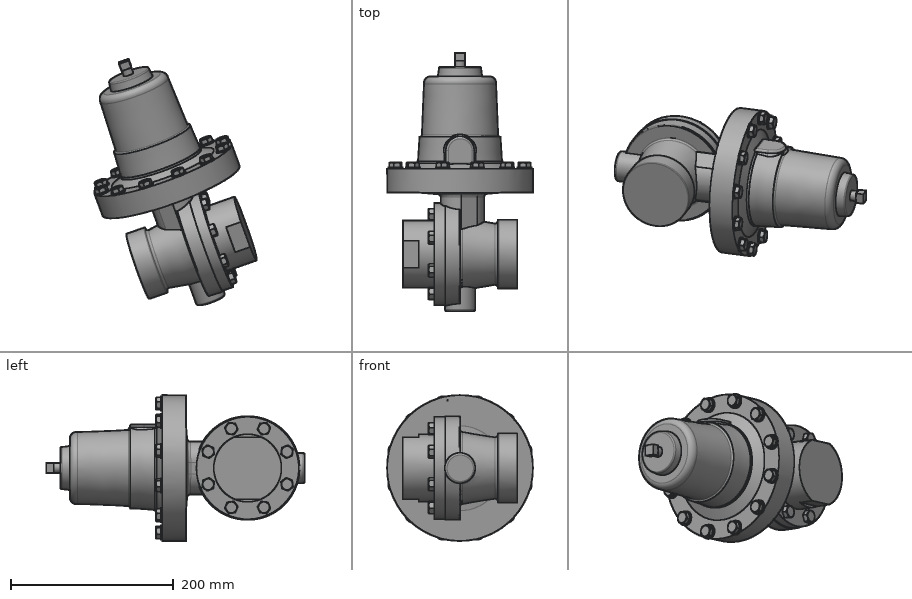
import cadquery as cq
import math


FLANGE_DIAMETER = 179.5
FLANGE_RADIUS = FLANGE_DIAMETER / 2
FLANGE_FRONT = 75.5
FLANGE_BACK = 105.0
HUB_RADIUS = 52.0
HUB_TIP_RADIUS = 22.2
HUB_TIP = 73.0

SKIRT_FOOT_RADIUS = 51.8
SKIRT_TOP_RADIUS = 50.0
SKIRT_TOP = 144.5
SKIRT_FOOT = 114.3
SHELF_TOP_RADIUS = 52.5
SHELF_TOP = 111.5
SHELF_FOOT_RADIUS = 66.7
BELL_FOOT_RADIUS = 47.0
BELL_TOP_RADIUS = 44.5
BELL_COVE = 2.0
SHOULDER = 209.5
BELL_TOP = 218.5
SHOULDER_INSET = 7.5
CAP_FOOT_RADIUS = 27.3
CAP_TOP_RADIUS = 26.0
CAP_TOP = 230.0
CAP_ROUND = 1.5
STEM_WIDTH = 12.7
STEM_SQUARE_FOOT = 237.8
STEM_TOP = 247.3

PAD_RADIUS = 17.5
PAD_CENTRE = 127.3
PAD_FOOT = 109.5
PAD_TOP = 53.5
PAD_ROUND = 3.0
PAD_FLARE = 2.5
PAD_FLARE_HEIGHT = 3.5
PAD_FLARE_BASE = 46.7

BARREL_RADIUS = 41.5
BARREL_END = -70.2
BARREL_FLAT_END = -50.8
BARREL_FLAT_HEIGHT = 38.0
COVER_RADIUS = 63.0
COVER_FACE = -31.8
BODY_RADIUS = 63.8
BODY_FACE = -18.5
BODY_BACK = 0.3
BODY_ROUND = 1.3
BODY_COVE = 2.2
TAPER_FOOT_RADIUS = 44.5
TAPER_END_RADIUS = 37.8
TAPER_END = 43.0
LIP_RADIUS = 42.5
LIP_FACE = 46.5
LIP_END = 70.5
LIP_ROUND = 1.0

NECK_LEFT = -23.8
NECK_RIGHT = 30.0
NECK_FLAT_HALF_WIDTH = 7.3
NECK_LEFT_ROUND = 25.5
NECK_HALF_HEIGHT = NECK_FLAT_HALF_WIDTH + NECK_LEFT_ROUND
NECK_BEND = 21.0
NECK_BEND_HEIGHT = 21.5
NECK_COVE = 3.5
NECK_ROOT_MARGIN = 0.3

BOSS_RADIUS = 18.7
BOSS_FRONT = -70.2
BOSS_ROUND = 2.5

HEX_ACROSS_CORNERS = 16.2
HEX_CORNER_CHAMFER = 1.3
WASHER_RADIUS = 9.0
WASHER_HEIGHT = 1.5
FLANGE_BOLT_COUNT = 12
FLANGE_BOLT_CIRCLE = 82.0
FLANGE_BOLT_TOP = 112.7
COVER_BOLT_COUNT = 8
COVER_BOLT_CIRCLE = 52.5
COVER_BOLT_TOP = -38.7

DIAG = math.sqrt(0.5)


def cylinder_y(radius, start, end):
    """Cylinder on the Y axis between two Y positions."""
    return cq.Workplane("XZ", origin=(0, start, 0)).circle(radius).extrude(start - end)


def bonnet_and_flange():
    """Flange, skirt, bell and cap turned about the Y axis."""
    shoulder_height = BELL_TOP - SHOULDER
    profile = (
        cq.Workplane("XY")
        .moveTo(0, HUB_TIP)
        .lineTo(HUB_TIP_RADIUS, HUB_TIP)
        .lineTo(HUB_RADIUS, FLANGE_FRONT)
        .lineTo(FLANGE_RADIUS, FLANGE_FRONT)
        .lineTo(FLANGE_RADIUS, FLANGE_BACK)
        .lineTo(SHELF_FOOT_RADIUS, FLANGE_BACK)
        .lineTo(SHELF_TOP_RADIUS, SHELF_TOP)
        .lineTo(SHELF_TOP_RADIUS, SKIRT_FOOT)
        .lineTo(SKIRT_FOOT_RADIUS, SKIRT_FOOT)
        .lineTo(SKIRT_TOP_RADIUS, SKIRT_TOP)
        .lineTo(BELL_FOOT_RADIUS + BELL_COVE, SKIRT_TOP)
        .threePointArc(
            (BELL_FOOT_RADIUS + BELL_COVE * (1 - DIAG), SKIRT_TOP + BELL_COVE * (1 - DIAG)),
            (BELL_FOOT_RADIUS, SKIRT_TOP + BELL_COVE),
        )
        .lineTo(BELL_TOP_RADIUS, SHOULDER)
        .threePointArc(
            (BELL_TOP_RADIUS - SHOULDER_INSET * (1 - DIAG), SHOULDER + shoulder_height * DIAG),
            (BELL_TOP_RADIUS - SHOULDER_INSET, BELL_TOP),
        )
        .lineTo(CAP_FOOT_RADIUS, BELL_TOP)
        .lineTo(CAP_TOP_RADIUS, CAP_TOP - CAP_ROUND)
        .threePointArc(
            (CAP_TOP_RADIUS - CAP_ROUND * (1 - DIAG), CAP_TOP - CAP_ROUND * (1 - DIAG)),
            (CAP_TOP_RADIUS - CAP_ROUND, CAP_TOP),
        )
        .lineTo(0, CAP_TOP)
        .close()
    )
    return profile.revolve(360, (0, 0, 0), (0, 1, 0))


def stem():
    """Adjusting stem: a round shank with a square end."""
    shank = cylinder_y(STEM_WIDTH / 2, BELL_TOP, STEM_SQUARE_FOOT)
    square = (
        cq.Workplane("XZ", origin=(0, STEM_SQUARE_FOOT, 0))
        .rect(STEM_WIDTH, STEM_WIDTH)
        .extrude(STEM_SQUARE_FOOT - STEM_TOP)
    )
    return shank.union(square)


def pad_prism(radius, foot, base, height, taper=0):
    """Arch-shaped prism standing on a plane at Z = base."""
    return (
        cq.Workplane("XY", origin=(0, 0, base))
        .moveTo(-radius, foot)
        .lineTo(radius, foot)
        .lineTo(radius, PAD_CENTRE)
        .threePointArc((0, PAD_CENTRE + radius), (-radius, PAD_CENTRE))
        .close()
        .extrude(height, taper=taper)
    )


def pad():
    """Arched pad with a rounded rim and a flare where it meets the skirt."""
    raised = pad_prism(PAD_RADIUS, PAD_FOOT, PAD_FLARE_BASE, PAD_TOP - PAD_FLARE_BASE)
    raised = raised.faces(">Z").edges().fillet(PAD_ROUND)
    flare_angle = math.degrees(math.atan2(PAD_FLARE, PAD_FLARE_HEIGHT))
    flare = pad_prism(
        PAD_RADIUS + PAD_FLARE, PAD_FOOT - PAD_FLARE, PAD_FLARE_BASE, PAD_FLARE_HEIGHT, flare_angle
    )
    return raised.union(flare)


def valve_body():
    """Barrel, cover, body flange, taper and outlet lip turned about the X axis."""
    cove = LIP_FACE - TAPER_END
    profile = (
        cq.Workplane("XY")
        .moveTo(BARREL_END, 0)
        .lineTo(BARREL_END, BARREL_RADIUS)
        .lineTo(COVER_FACE, BARREL_RADIUS)
        .lineTo(COVER_FACE, COVER_RADIUS)
        .lineTo(BODY_FACE, COVER_RADIUS)
        .lineTo(BODY_FACE, BODY_RADIUS)
        .lineTo(BODY_BACK - BODY_ROUND, BODY_RADIUS)
        .tangentArcPoint((BODY_BACK, BODY_RADIUS - BODY_ROUND), relative=False)
        .lineTo(BODY_BACK, TAPER_FOOT_RADIUS + BODY_COVE)
        .tangentArcPoint((BODY_BACK + BODY_COVE, TAPER_FOOT_RADIUS), relative=False)
        .lineTo(TAPER_END, TAPER_END_RADIUS)
        .threePointArc(
            (TAPER_END + cove * DIAG, TAPER_END_RADIUS + cove * (1 - DIAG)),
            (LIP_FACE, TAPER_END_RADIUS + cove),
        )
        .lineTo(LIP_FACE, LIP_RADIUS - LIP_ROUND)
        .tangentArcPoint((LIP_FACE + LIP_ROUND, LIP_RADIUS), relative=False)
        .lineTo(LIP_END - LIP_ROUND, LIP_RADIUS)
        .tangentArcPoint((LIP_END, LIP_RADIUS - LIP_ROUND), relative=False)
        .lineTo(LIP_END, 0)
        .close()
    )
    return profile.revolve(360, (0, 0, 0), (1, 0, 0))


def cut_barrel_flats(body):
    """Cut the two wrench flats, above and below, at the open end of the barrel."""
    length = BARREL_FLAT_END - BARREL_END
    height = BARREL_RADIUS - BARREL_FLAT_HEIGHT
    for side in (1, -1):
        cutter = cq.Workplane("XY").box(length, 2 * BARREL_RADIUS, height).translate(
            (BARREL_END + length / 2, 0, side * (BARREL_FLAT_HEIGHT + height / 2))
        )
        body = body.cut(cutter)
    return body


def neck():
    """Column from the body axis up into the hub of the flange, blunt at left and rounded at right."""
    left_mid_x = NECK_LEFT + NECK_LEFT_ROUND * (1 - DIAG)
    left_mid_z = NECK_FLAT_HALF_WIDTH + NECK_LEFT_ROUND * DIAG
    left_end = NECK_LEFT + NECK_LEFT_ROUND
    section = (
        cq.Workplane("XZ")
        .moveTo(NECK_LEFT, -NECK_FLAT_HALF_WIDTH)
        .lineTo(NECK_LEFT, NECK_FLAT_HALF_WIDTH)
        .threePointArc((left_mid_x, left_mid_z), (left_end, NECK_HALF_HEIGHT))
        .lineTo(NECK_BEND, NECK_BEND_HEIGHT)
        .threePointArc((NECK_RIGHT, 0), (NECK_BEND, -NECK_BEND_HEIGHT))
        .lineTo(left_end, -NECK_HALF_HEIGHT)
        .threePointArc((left_mid_x, -left_mid_z), (NECK_LEFT, -NECK_FLAT_HALF_WIDTH))
        .close()
    )
    return section.extrude(-FLANGE_FRONT)


def boss():
    """Round boss along -Y with a rounded front rim."""
    return cylinder_y(BOSS_RADIUS, BOSS_FRONT, 0).faces("<Y").edges().fillet(BOSS_ROUND)


def hex_head(height):
    """Hexagon head standing on the XY plane, its corners chamfered at the top."""
    head = cq.Workplane("XY").polygon(6, HEX_ACROSS_CORNERS).extrude(height)
    turned_blank = (
        cq.Workplane("XY")
        .circle(HEX_ACROSS_CORNERS / 2)
        .extrude(height)
        .faces(">Z")
        .chamfer(HEX_CORNER_CHAMFER)
    )
    return head.intersect(turned_blank)


def flange_bolts():
    """Ring of washers and hexagon heads on the back of the diaphragm flange."""
    spacing = 360 / FLANGE_BOLT_COUNT
    seat = FLANGE_BACK + WASHER_HEIGHT
    washer = cylinder_y(WASHER_RADIUS, FLANGE_BACK, seat)
    head = hex_head(FLANGE_BOLT_TOP - seat).rotate((0, 0, 0), (1, 0, 0), -90)
    bolt = washer.union(head.translate((0, seat, 0))).translate((FLANGE_BOLT_CIRCLE, 0, 0))
    return [
        bolt.rotate((0, 0, 0), (0, 1, 0), (i + 0.5) * spacing) for i in range(FLANGE_BOLT_COUNT)
    ]


def cover_bolts():
    """Ring of hexagon heads on the face of the cover."""
    spacing = 360 / COVER_BOLT_COUNT
    head = hex_head(COVER_FACE - COVER_BOLT_TOP).rotate((0, 0, 0), (0, 1, 0), -90)
    bolt = head.translate((COVER_FACE, 0, COVER_BOLT_CIRCLE))
    return [
        bolt.rotate((0, 0, 0), (1, 0, 0), (i + 0.5) * spacing) for i in range(COVER_BOLT_COUNT)
    ]


neck_root = cq.selectors.BoxSelector(
    (-HUB_RADIUS, HUB_TIP, -HUB_RADIUS), (HUB_RADIUS, FLANGE_FRONT - NECK_ROOT_MARGIN, HUB_RADIUS)
)
result = bonnet_and_flange().union(neck())
result = result.edges(neck_root).fillet(NECK_COVE)
result = result.union(stem()).union(pad())
result = result.union(cut_barrel_flats(valve_body())).union(boss())
for bolt in flange_bolts() + cover_bolts():
    result = result.union(bolt)